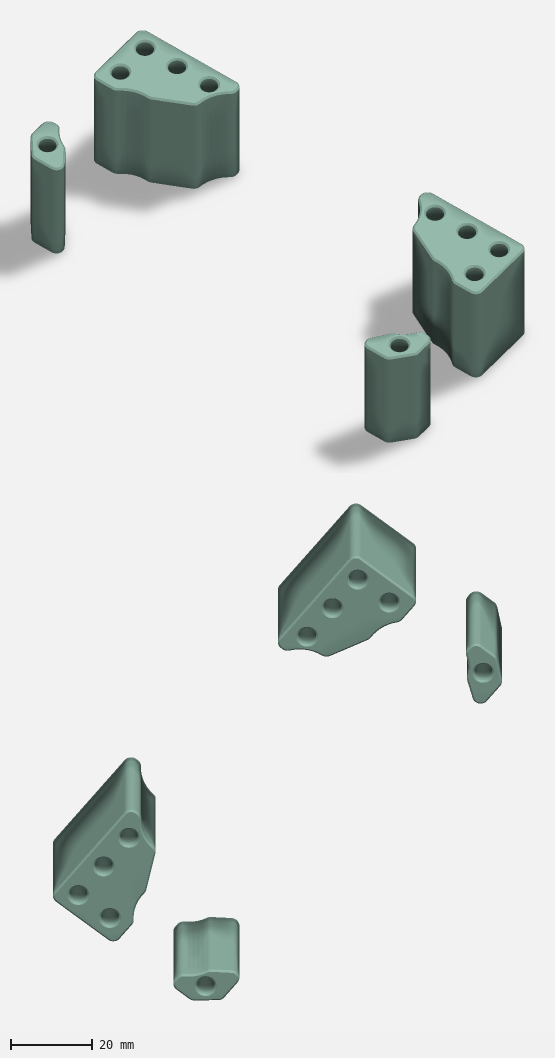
import cadquery as cq

LENGTH = 120.0
DEPTH = 50.6
HEIGHT = 31.5

LEFT = -LENGTH / 2
BACK = DEPTH / 2
FRONT = -DEPTH / 2

CORNER_RADIUS = 2.0
CHAMFER = 0.5
HOLE_DIAMETER = 4.5
SCALLOP_RADIUS = 10.0

BLOCK_WIDTH = 31.5
BLOCK_DEPTH = 20.5
SLOPE_LEFT_END = (10.0, BLOCK_DEPTH)
SLOPE_RIGHT_END = (BLOCK_WIDTH, 10.0)
FRONT_SCALLOP_CENTER = (14.8, 27.5)
SIDE_SCALLOP_CENTER = (36.7, 12.1)
HOLE_MARGIN = 5.0
HOLE_SPACING = 10.0
BLOCK_HOLE_GRID = [(0, 0), (1, 0), (2, 0), (0, 1)]

FOOT_DEPTH = 12.6
FOOT_BACK_WIDTH = 5.9
FOOT_FRONT_WIDTH = 14.9
BEVEL_WIDTH = 4.8
BEVEL_DEPTH = 5.8
FOOT_SCALLOP_CENTER = (13.0, -4.5)
FOOT_HOLE = (5.4, 7.0)


def place(points, back):
    """Turn (right, forward) distances from a body's back left corner into X, Y points."""
    return [(LEFT + right, back - forward) for right, forward in points]


def cylinders(centers, diameter):
    """Full-height vertical cylinders."""
    base = cq.Workplane("XY").workplane(offset=-HEIGHT / 2)
    return base.pushPoints(centers).circle(diameter / 2).extrude(HEIGHT)


def make_body(outline, scallops, holes):
    """Upright prism with scalloped sides, rounded corners, through holes and chamfered ends."""
    body = cq.Workplane("XY").workplane(offset=-HEIGHT / 2).polyline(outline).close().extrude(HEIGHT)
    body = body.cut(cylinders(scallops, 2 * SCALLOP_RADIUS))
    body = body.edges("|Z").fillet(CORNER_RADIUS)
    body = body.cut(cylinders(holes, HOLE_DIAMETER))
    return body.faces("|Z").edges().chamfer(CHAMFER)


def make_block():
    """Large back left block with an L-shaped pattern of four holes."""
    outline = [(0, 0), (BLOCK_WIDTH, 0), SLOPE_RIGHT_END, SLOPE_LEFT_END, (0, BLOCK_DEPTH)]
    scallops = [FRONT_SCALLOP_CENTER, SIDE_SCALLOP_CENTER]
    holes = [
        (HOLE_MARGIN + column * HOLE_SPACING, HOLE_MARGIN + row * HOLE_SPACING)
        for column, row in BLOCK_HOLE_GRID
    ]
    return make_body(place(outline, BACK), place(scallops, BACK), place(holes, BACK))


def make_foot():
    """Small front left foot with one hole."""
    back = FRONT + FOOT_DEPTH
    outline = [
        (0, 0),
        (FOOT_BACK_WIDTH, 0),
        (FOOT_FRONT_WIDTH, FOOT_DEPTH),
        (BEVEL_WIDTH, FOOT_DEPTH),
        (0, FOOT_DEPTH - BEVEL_DEPTH),
    ]
    return make_body(place(outline, back), place([FOOT_SCALLOP_CENTER], back), place([FOOT_HOLE], back))


bodies = []
for left_body in (make_block(), make_foot()):
    bodies.append(left_body.val())
    bodies.append(left_body.mirror("YZ").val())

result = cq.Compound.makeCompound(bodies)